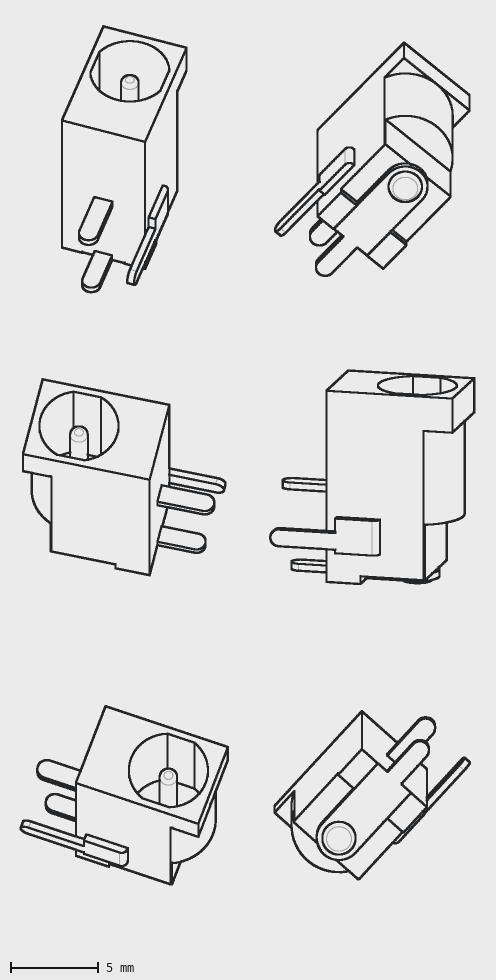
import cadquery as cq


body_width = 5.0
body_depth = 7.4
body_height = 11.2
barrel_radius = 2.7
barrel_height = 7.5
collar_height = 2.0
lower_back_y = 1.1

body_back_y = barrel_radius
body_front_y = body_back_y - body_depth
barrel_bottom_z = body_height - barrel_height
collar_bottom_z = body_height - collar_height

socket_radius = 2.25
socket_flat_width = 4.2
socket_floor_thickness = barrel_radius - socket_radius
socket_floor_z = barrel_bottom_z + socket_floor_thickness
pin_radius = 0.5
pin_tip_round = 0.25
pin_recess = 0.75

sheet = 0.41
terminal_reach = 3.19
upper_width = 1.1
upper_top_z = 5.2

base_half_width = 1.27
base_bottom_z = 0.05
base_terminal_width = 1.05
base_terminal_reach = 2.68
base_recess_front_y = -barrel_radius
base_top_z = base_bottom_z + sheet
rivet_radius = 0.95
rivet_round = 0.24
rivet_bottom_z = -0.2

side_blade_width = 0.98
side_blade_top_z = 3.0
side_blade_middle_z = side_blade_top_z - side_blade_width / 2
side_plate_bottom_z = 1.82
side_plate_top_z = 3.85
side_plate_back_y = -1.55
side_plate_front_y = -4.07
side_bend_radius = 0.35


def block(x_range, y_range, z_range):
    """Box spanning the given lower and upper limits on each axis."""
    size = [high - low for low, high in (x_range, y_range, z_range)]
    corner = (x_range[0], y_range[0], z_range[0])
    return cq.Workplane("XY").box(*size, centered=False).translate(corner)


def cylinder(radius, bottom_z, top_z):
    """Upright cylinder on the socket axis."""
    return cq.Workplane("XY").workplane(offset=bottom_z).circle(radius).extrude(top_z - bottom_z)


def round_ended_blade(width, back_y, tip_y, bottom_z):
    """Flat sheet-metal terminal along Y with a full round at its -Y tip."""
    half = width / 2
    round_start_y = tip_y + half
    return (
        cq.Workplane("XY").workplane(offset=bottom_z)
        .moveTo(-half, back_y)
        .lineTo(-half, round_start_y)
        .threePointArc((0, tip_y), (half, round_start_y))
        .lineTo(half, back_y)
        .close()
        .extrude(sheet)
    )


def make_housing():
    half = body_width / 2
    across = (-half, half)
    collar = block(across, (body_front_y, body_back_y), (collar_bottom_z, body_height))
    front_block = block(across, (body_front_y, 0), (0, body_height))
    barrel = cylinder(barrel_radius, 0, body_height)
    barrel = barrel.intersect(block(across, (0, body_back_y), (0, body_height)))
    below_barrel = block(across, (lower_back_y, body_back_y), (0, barrel_bottom_z))
    base_recess = block(across, (base_recess_front_y, body_back_y), (0, base_top_z))
    channel = block(
        (-base_half_width, base_half_width),
        (body_front_y, base_recess_front_y),
        (0, base_top_z),
    )
    housing = front_block.union(barrel).union(collar)
    return housing.cut(below_barrel).cut(base_recess).cut(channel)


def make_socket():
    """Round cavity with a flat on each X side."""
    half_flat = socket_flat_width / 2
    bore = cylinder(socket_radius, socket_floor_z, body_height)
    flats = block(
        (-half_flat, half_flat),
        (-socket_radius, socket_radius),
        (socket_floor_z, body_height),
    )
    return bore.intersect(flats)


def make_centre_pin():
    """Contact pin, rooted in the socket floor and rounded at the tip."""
    pin = cylinder(pin_radius, barrel_bottom_z, body_height - pin_recess)
    return pin.faces(">Z").edges().fillet(pin_tip_round)


def make_base_plate():
    """Plate under the housing: round behind, riveted on the axis, terminal in front."""
    plate = block(
        (-base_half_width, base_half_width),
        (body_front_y, 0),
        (base_bottom_z, base_top_z),
    )
    round_end = cylinder(base_half_width, base_bottom_z, base_top_z)
    terminal = round_ended_blade(
        base_terminal_width, 0, body_front_y - base_terminal_reach, base_bottom_z
    )
    rivet = cylinder(rivet_radius, rivet_bottom_z, base_top_z)
    rivet = rivet.faces("<Z").edges().fillet(rivet_round)
    return plate.union(round_end).union(terminal).union(rivet)


def make_upper_terminal():
    """Terminal rooted in the thick wall between the socket and the front face."""
    root_y = (body_front_y - socket_radius) / 2
    return round_ended_blade(
        upper_width, root_y, body_front_y - terminal_reach, upper_top_z - sheet
    )


def make_side_terminal():
    """Upright plate against the +X wall, narrowing to a terminal in front."""
    inner_x = body_width / 2
    outer_x = inner_x + sheet
    plate = block(
        (inner_x, outer_x),
        (side_plate_front_y, side_plate_back_y),
        (side_plate_bottom_z, side_plate_top_z),
    )
    plate = plate.edges("|Z and >X and >Y").fillet(side_bend_radius)
    blade = (
        round_ended_blade(
            side_blade_width, side_plate_front_y, body_front_y - terminal_reach, 0
        )
        .rotate((0, 0, 0), (0, 1, 0), 90)
        .translate((inner_x, 0, side_blade_middle_z))
    )
    return plate.union(blade)


result = make_housing().cut(make_socket())
for metal_part in (
    make_centre_pin(),
    make_base_plate(),
    make_upper_terminal(),
    make_side_terminal(),
):
    result = result.union(metal_part)